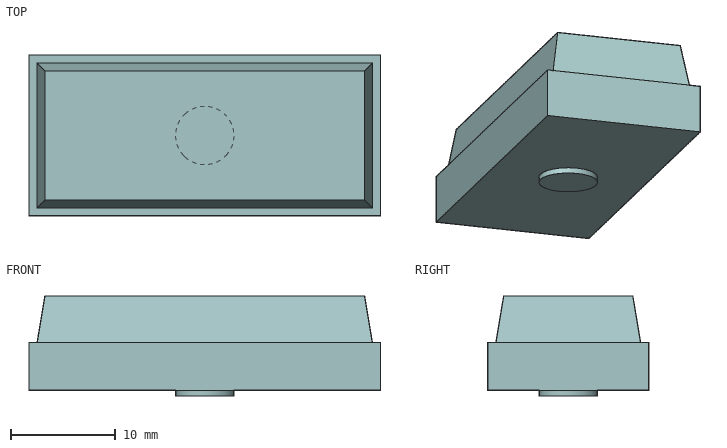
import cadquery as cq

length = 33.5
width = 15.35
total_height = 9.55

base_height = 4.6

ledge = 0.77
draft_angle = 9.5

boss_diameter = 5.55
boss_height = 0.55

cap_height = total_height - base_height - boss_height

base = cq.Workplane("XY").box(length, width, base_height, centered=(True, True, False))

cap = (
    cq.Workplane("XY")
    .workplane(offset=base_height)
    .rect(length - 2 * ledge, width - 2 * ledge)
    .extrude(cap_height, taper=draft_angle)
)

boss = cq.Workplane("XY").circle(boss_diameter / 2).extrude(-boss_height)

result = base.union(cap).union(boss)